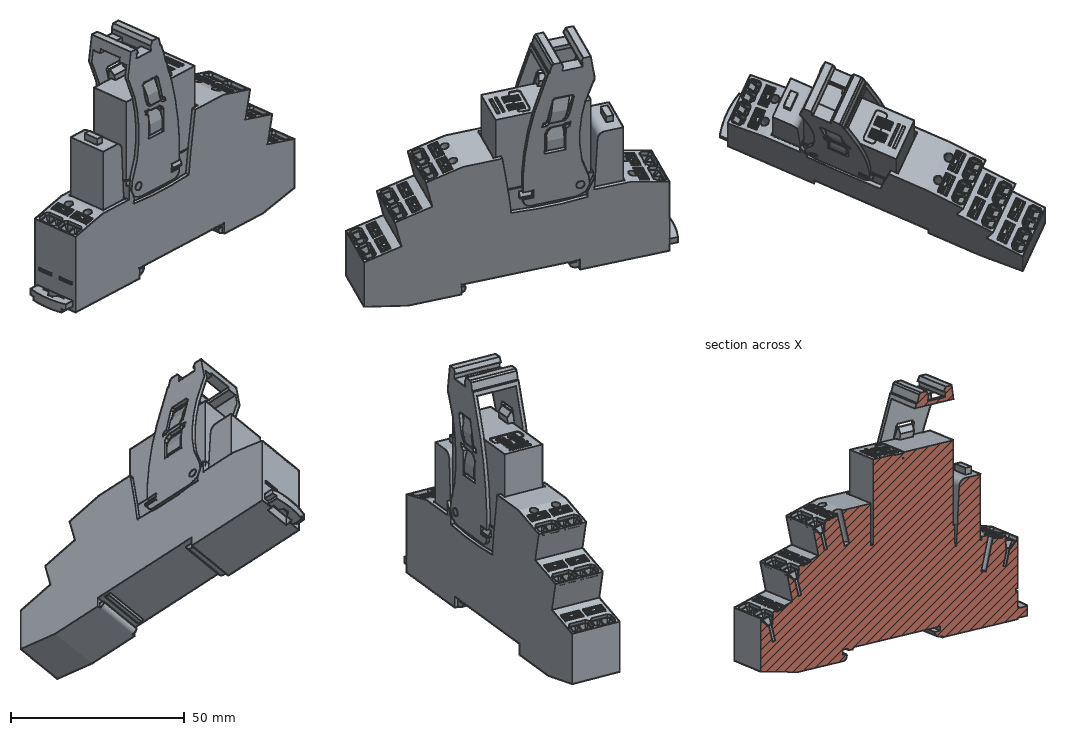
import cadquery as cq
import math


body_width = 15.9
body_half = body_width / 2
body_length = 93.0
front_edge_z = 24.9
rail_front_y = 27.2
rail_back_y = 63.25
rail_z = 3.5

tier_count = 3
tier_edge_z = 19.0
tier_run = 9.4
tier_rise = 12.0
slope_run = 11.4
slope_rise = 2.9
deck_z = tier_edge_z + (tier_count - 1) * tier_rise + slope_rise
front_deck_z = front_edge_z + slope_rise
slope_angle = math.atan2(slope_rise, slope_run)

block_width = 13.5
block_half = block_width / 2
block_front_y = 22.8
block_z = 33.2
cradle_floor_z = 25.7
cradle_front_y = 24.9
cradle_back_y = 48.1
cradle_block_y = 49.0
cradle_top_y = 50.85
relay_width = 12.7
relay_half = relay_width / 2
relay_front_y = 23.3
relay_back_y = 52.4
relay_z = 59.1
relay_pocket_back_y = 53.2
module_front_y = 13.5
module_z = 46.8
module_pocket_depth = 1.0

clip_half = 7.7
clip_inner_half = 6.5
clip_top_z = 75.8
clip_saddle_z = 72.7
clip_bridge_z = 71.4
clip_foot_z = 26.5
catch_back_y = 45.4
catch_front_y = 41.2
catch_bottom_z = 29.3
catch_top_z = 31.9

pair_x = 3.7
wire_spacing = 3.4
wire_offset = wire_spacing / 2

slider_tip_y = -3.9
slider_z = 0.4
slider_step_z = 1.55


def side_sketch(points):
    """Closed outline of (Y, Z) points on the middle plane."""
    return cq.Workplane("YZ").polyline(points).close()


def side_plate(points, half_width):
    return side_sketch(points).extrude(half_width, both=True)


def box(x_range, y_range, z_range):
    size = [high - low for low, high in (x_range, y_range, z_range)]
    corner = (x_range[0], y_range[0], z_range[0])
    return cq.Workplane("XY").box(*size, centered=False).translate(corner)


def mirrored(shape):
    """The shape together with its copy across X = 0."""
    return shape.union(shape.mirror("YZ"))


def tier_edge(index):
    """Outer top edge (Y, Z) of a rear terminal step, counted from the lowest."""
    return body_length - index * tier_run, tier_edge_z + index * tier_rise


def make_body():
    """Full-width block with rear terminal steps and the rail recess underneath."""
    outline = [(0, 0), (rail_front_y, 0), (rail_front_y, rail_z), (rail_back_y, rail_z), (rail_back_y, 0)]
    outline += [(79.6, 0), (body_length, 2.9)]
    for index in range(tier_count):
        y, z = tier_edge(index)
        outline += [(y, z), (y - slope_run, z + slope_rise)]
    outline += [(cradle_top_y, deck_z), (cradle_block_y, block_z)]
    outline += [(block_front_y, block_z), (block_front_y, front_deck_z), (slope_run, front_deck_z)]
    outline += [(0, front_edge_z)]
    return side_plate(outline, body_half)


def cut_cradle(body):
    """Cut back the sides around the relay block and open the relay pocket."""
    recess = (
        cq.Workplane("YZ", origin=(block_half, 0, 0))
        .moveTo(cradle_top_y, deck_z)
        .lineTo(cradle_block_y, block_z)
        .lineTo(cradle_back_y, cradle_floor_z)
        .threePointArc((35.8, cradle_floor_z - 0.6), (cradle_front_y, cradle_floor_z))
        .lineTo(cradle_front_y, front_deck_z)
        .lineTo(block_front_y, 32.3)
        .lineTo(block_front_y, deck_z)
        .close()
        .extrude(body_half)
    )
    pocket = box((-block_half, block_half), (block_front_y, relay_pocket_back_y), (block_z, deck_z))
    return body.cut(mirrored(recess)).cut(pocket)


def cut_module_pocket(body):
    margin = 0.3
    half = relay_half + margin
    y_range = (module_front_y - margin, block_front_y - 0.2)
    return body.cut(box((-half, half), y_range, (front_deck_z - module_pocket_depth, front_deck_z)))


def terminal_plane(y, z, facing):
    """Plane on a sloped terminal face; local Y runs outward and down to the edge at (Y, Z)."""
    normal = (0, facing * math.sin(slope_angle), math.cos(slope_angle))
    return cq.Plane(origin=(0, y, z), xDir=(facing, 0, 0), normal=normal)


def wire_opening(plane, x):
    """Mouth with cut corners over two funnels, each leading into a square contact hole."""
    middle_y = -2.3
    mouth_depth = 1.2
    floor_y = -2.7
    floor_depth = 3.4
    contact_depth = 8.7
    mouth = cq.Workplane(plane).center(x, middle_y).polyline(cut_rectangle(6.9, 4.0, 0.8)).close()
    opening = mouth.extrude(-mouth_depth)
    for side in (-wire_offset, wire_offset):
        funnel = (
            cq.Workplane(plane)
            .center(x + side, middle_y)
            .workplane(offset=-mouth_depth)
            .polyline(cut_rectangle(3.1, 3.6, 0.6))
            .close()
            .workplane(offset=mouth_depth - floor_depth)
            .center(0, floor_y - middle_y)
            .polyline(cut_rectangle(2.1, 1.55, 0.2))
            .close()
            .loft(ruled=True)
        )
        contact = cq.Workplane(plane).center(x + side, floor_y).rect(1.55, 0.9).extrude(-contact_depth)
        opening = opening.union(funnel).union(contact)
    return opening


def cut_rectangle(width, height, corner):
    """Points of a centred rectangle with its corners cut off."""
    a, b = width / 2, height / 2
    c, d = a - corner, b - corner
    return [(-c, -b), (c, -b), (a, -d), (a, d), (c, b), (-c, b), (-a, d), (-a, -d)]


def release_slot(plane, x):
    """Shallow slot crossed by a split bar and a full bar, joined by a square centre post."""
    slot_width = 6.1
    slot_depth = 0.6
    bar_depth = 0.2

    def block(y_near, y_far, width, top=bar_depth):
        layer = cq.Workplane(plane).workplane(offset=-top).center(x, -(y_near + y_far) / 2)
        return layer.rect(width, y_far - y_near).extrude(top - slot_depth)

    slot = block(5.9, 8.8, slot_width, top=0)
    split_bar = block(6.5, 7.2, slot_width).cut(block(6.5, 7.2, 0.6))
    full_bar = block(7.7, 8.2, slot_width)
    post = block(7.2, 7.7, 1.5)
    return slot.cut(split_bar).cut(full_bar).cut(post)


def cut_terminals(body):
    faces = [terminal_plane(*tier_edge(index), 1) for index in range(tier_count)]
    faces.append(terminal_plane(0, front_edge_z, -1))
    for plane in faces:
        for x in (-pair_x, pair_x):
            body = body.cut(release_slot(plane, x))
            body = body.cut(wire_opening(plane, x))
    test_y = -10.1
    test_radius = 1.3
    test_depth = 10.7
    for plane in faces[-2:]:
        centres = cq.Workplane(plane).pushPoints([(-pair_x, test_y), (pair_x, test_y)])
        body = body.cut(centres.circle(test_radius).extrude(-test_depth))
    return body


def cut_front_slots(body):
    return body.cut(mirrored(box((1.55, 6.4), (0, 0.8), (8.5, 9.4))))


def make_relay():
    """Plain relay case with a marked lever, two grilles and a lip on top."""
    relay = box((-relay_half, relay_half), (relay_front_y, relay_back_y), (block_z, relay_z))
    groove_depth = 0.3
    groove_z = (relay_z - groove_depth, relay_z)
    window_half = 3.5
    pill = box((-4.9, 4.9), (41.2, 44.75), groove_z).edges("|Z").fillet(0.9)
    relay = relay.cut(pill)
    relay = relay.cut(box((-window_half, window_half), (50.1, 50.85), groove_z))
    grille_depth = 1.0
    grille_pitch = 0.6
    grille_start = 0.7
    groove_count = 5
    for index in range(groove_count):
        x = grille_start + index * grille_pitch
        groove = box((x, x + grille_pitch / 2), (42.2, 47.2), (relay_z - grille_depth, relay_z))
        relay = relay.cut(mirrored(groove))
    lip = box((-window_half, window_half), (48.6, 49.2), (relay_z, relay_z + 0.3))
    return relay.union(lip)


def make_module():
    """Indicator module with a leaning rear face, a rounded rear top edge and a small tab."""
    base_z = front_deck_z - module_pocket_depth
    round_y = 21.3
    round_run = 2.4
    round_drop = 1.9
    profile = (
        cq.Workplane("YZ")
        .moveTo(module_front_y, base_z)
        .lineTo(module_front_y, module_z)
        .lineTo(round_y - round_run, module_z)
        .threePointArc((round_y - 0.9, module_z - 0.5), (round_y, module_z - round_drop))
        .lineTo(22.3, base_z)
        .close()
    )
    tab = box((-2.5, 2.5), (15.2, 17.3), (module_z, module_z + 2.0))
    return profile.extrude(relay_half, both=True).union(tab)


def clip_outline():
    """Side outline of the clip: foot, bowed back edge, grip rails with a saddle, waisted front edge."""
    return (
        cq.Workplane("YZ")
        .moveTo(28.0, clip_foot_z)
        .lineTo(41.8, clip_foot_z)
        .threePointArc((43.9, 27.4), (44.5, catch_bottom_z))
        .lineTo(44.5, 38.0)
        .threePointArc((43.1, 50.4), (41.0, 60.0))
        .lineTo(36.8, 72.7)
        .lineTo(36.4, 72.9)
        .lineTo(35.7, 75.4)
        .lineTo(35.2, clip_top_z)
        .lineTo(32.9, clip_top_z)
        .lineTo(32.3, 74.4)
        .lineTo(32.4, clip_saddle_z)
        .lineTo(26.3, clip_saddle_z)
        .lineTo(26.3, 74.2)
        .lineTo(26.9, 74.4)
        .lineTo(26.2, clip_top_z)
        .lineTo(23.8, clip_top_z)
        .lineTo(22.7, 68.2)
        .threePointArc((22.7, 67.4), (23.1, 66.5))
        .lineTo(25.6, 60.0)
        .threePointArc((27.2, 48.7), (26.5, 39.4))
        .lineTo(24.5, block_z)
        .lineTo(24.1, 30.0)
        .lineTo(25.3, 27.6)
        .close()
    )


def make_tongue(outline, foot_z, bend_z, tip_z, hook):
    """Spring tongue in the +X leg: its side outline trimmed to a bent cross-section."""
    face = clip_half - 0.1
    section = [(relay_half, foot_z), (face, foot_z), (face, bend_z), (clip_inner_half, tip_z)]
    section += hook + [(relay_half, relay_z)] if hook else [(relay_half, tip_z)]
    span = cq.Workplane("XZ").polyline(section).close().extrude(-body_length)
    return side_sketch(outline).extrude(body_half).intersect(span)


def make_clip():
    """Two legs joined by a bridge with grip rails, with spring tongues and hooks over the relay."""
    clip = clip_outline().extrude(clip_half, both=True)
    inside = (-clip_inner_half, clip_inner_half)
    everywhere_y = (0, body_length)
    clip = clip.cut(box(inside, everywhere_y, (0, clip_bridge_z)))

    saddle_width = 7.5
    saddle_half = saddle_width / 2
    opening_y = (0, 32.4)
    clip = clip.cut(box((-saddle_half, saddle_half), opening_y, (clip_bridge_z, clip_saddle_z)))

    upper_window = [(36.4, 59.0), (35.45, 62.6), (34.9, 63.3), (29.5, 63.3), (29.0, 62.6), (30.2, 57.1)]
    upper_window += [(30.8, 55.8), (31.9, 54.7), (36.4, 54.7), (37.4, 53.95), (38.6, 53.95), (38.3, 55.1)]
    upper_window += [(37.2, 55.6)]
    lower_window = [(37.9, 44.2), (31.5, 44.2), (31.4, 51.8), (30.3, 52.5), (29.9, 53.8), (31.5, 53.8)]
    lower_window += [(32.3, 53.2), (36.0, 53.2), (37.2, 52.4), (37.9, 51.1)]
    for window in (upper_window, lower_window):
        clip = clip.cut(side_plate(window, body_half))

    upper_tongue = [(35.0, 62.4), (29.9, 62.4), (31.4, 56.2), (32.35, 54.7), (36.5, 54.6)]
    lower_tongue = [(37.2, 45.0), (31.9, 45.0), (32.0, 52.6), (35.2, 52.6), (36.5, 51.7), (37.2, 50.6)]
    hook_x = 4.7
    hook = [(hook_x, 60.8), (hook_x, relay_z)]
    clip = clip.union(mirrored(make_tongue(upper_tongue, 54.6, 58.4, 62.7, hook)))
    clip = clip.union(mirrored(make_tongue(lower_tongue, 44.2, 48.5, 53.2, [])))

    catch_window = box((-body_half, body_half), (catch_front_y, catch_back_y), (catch_bottom_z, catch_top_z))
    return clip.cut(catch_window)


def make_pivot():
    """Pin through the clip legs, standing slightly proud of them."""
    pin_y = 27.0
    pin_z = 30.4
    pin_radius = 1.3
    reach = clip_half + 0.1
    return cq.Workplane("YZ").center(pin_y, pin_z).circle(pin_radius).extrude(reach, both=True)


def make_catches():
    """Wedges on the block sides that snap into the clip."""
    front_y = 41.7
    ledge_z = 29.8
    nose_z = 30.3
    section = [(0, ledge_z), (clip_half, ledge_z), (clip_half, nose_z), (block_half, catch_top_z)]
    section.append((0, catch_top_z))
    wedge = cq.Workplane("XZ", origin=(0, front_y, 0)).polyline(section).close()
    return mirrored(wedge.extrude(front_y - catch_back_y))


def make_slider():
    """Pull tab at the front of the rail foot, narrower below than above."""
    corner_y = -3.0
    tab_half = 6.9
    step_half = 5.4
    root_y = 1.9

    def plate(half, z_low, z_high):
        return (
            cq.Workplane("XY", origin=(0, 0, z_low))
            .moveTo(-tab_half, root_y)
            .lineTo(-tab_half, corner_y)
            .threePointArc((0, slider_tip_y), (tab_half, corner_y))
            .lineTo(tab_half, root_y)
            .close()
            .extrude(z_high - z_low)
            .intersect(box((-half, half), (slider_tip_y, root_y), (z_low, z_high)))
        )

    return plate(tab_half, slider_step_z, rail_z).union(plate(step_half, slider_z, slider_step_z))


def make_keyhole():
    """Stepped opening through the pull tab that runs into the body front."""
    inner_y = 1.5
    half = [(4.0, inner_y), (4.0, -0.8), (1.7, -0.8), (0.9, -2.2)]
    outline = half + [(-x, y) for x, y in reversed(half)]
    return cq.Workplane("XY").polyline(outline).close().extrude(rail_z)


def make_rail_hooks():
    """Fixed hook, moving hook and small stop that hold the mounting rail."""
    hook_half = 7.1
    fixed = (
        cq.Workplane("YZ")
        .moveTo(rail_back_y, 0)
        .threePointArc((62.0, 0.6), (61.7, 1.55))
        .lineTo(62.1, 2.0)
        .lineTo(rail_back_y, 2.0)
        .close()
        .extrude(hook_half, both=True)
    )
    moving = (
        cq.Workplane("YZ")
        .moveTo(rail_front_y, slider_z)
        .lineTo(28.3, slider_z)
        .threePointArc((29.6, 1.2), (30.2, 2.3))
        .lineTo(28.1, 2.3)
        .lineTo(28.1, rail_z)
        .lineTo(rail_front_y, rail_z)
        .close()
        .extrude(hook_half, both=True)
    )
    stop = side_plate([(61.5, rail_z), (60.9, 2.9), (59.8, 2.9), (59.2, rail_z)], hook_half)
    return fixed.union(moving).union(stop)


body = cut_front_slots(cut_terminals(cut_module_pocket(cut_cradle(make_body()))))
result = body.union(make_relay()).union(make_module()).union(make_clip())
result = result.union(make_pivot()).union(make_catches()).union(make_slider()).union(make_rail_hooks())
result = result.cut(make_keyhole())